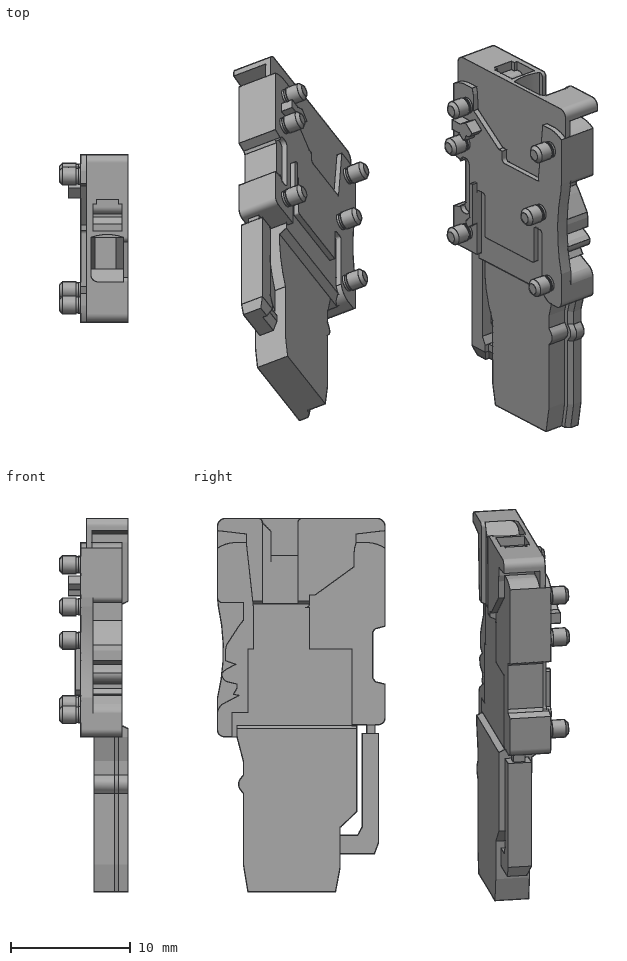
import cadquery as cq

HEIGHT = 31.15
WIDTH = 14.0
HALF_WIDTH = WIDTH / 2
CORNER_RADIUS = 0.7

PIN_TIP_X = -2.87
ARROW_X = -2.12
RAIL_X = -1.55
PLATE_X = -1.1
INSERT_FRONT_X = -0.62
SKIN_REAR_X = -0.15
LATCH_X = -0.05
BLADE_X = 0.0
HOUSING_REAR_X = 2.37
INSERT_REAR_X = 2.87

CAP_UNDERSIDE_Z = 30.12
CAP_UNDERSIDE_DROP = 0.28
LUG_EDGE_Z = 28.65
LUG_TOP_Z = 29.13
LUG_ARC_Y = 5.6
LUG_ARC_MIDDLE = (6.35, 28.97)
LUG_INNER_Y = 4.58
INSERT_STEP_Z = 24.73
UPPER_BOTTOM_Z = 23.7
NECK_LEFT_Y = 0.7
NECK_RIGHT_Y = -4.0
NECK_RADIUS = 0.3
FLANGE_BOTTOM_Z = 24.0
FLANGE_BEVEL = 0.25

CORE_LEFT_Y = 4.25
CORE_RIGHT_Y = -4.45
CORE_TOP_Z = 20.25
SHOULDER_RIGHT_Y = -5.75
SHOULDER_TOP_Z = 14.95
SHOULDER_BEVEL_Z = 13.33
SHOULDER_BOTTOM_Z = 12.9

BLADE_TOP_Z = 13.85
BLADE_LEFT_Y = 3.25
BLADE_RIGHT_Y = -4.08
BLADE_TAPER_Z = 2.0
EDGE_TAPER_Z = 2.27
BLADE_TAPER = 0.37
EDGE_FLARE_Z = 10.87
EDGE_FLARE = 0.53
EDGE_STEP = 0.37
EDGE_BEVEL_START_X = 1.7
EDGE_BEVEL_END_X = 2.05
BUMP_Z = 8.97
BUMP_HALF_HEIGHT = 0.78
BUMP_ARC_HALF = 0.53
BUMP_FLANK = 0.2
BUMP_DEPTH = 0.4

WEB_X = 1.0
WEB_LEFT_Y = 4.65
WEB_SLOPE_Z = (5.35, 6.7)

ARM_X = 0.45
ARM_REAR_X = 2.43
ARM_OUTER_Y = 6.45
ARM_INNER_Y = 5.08
ARM_TOP_Z = 13.2
ARM_BEVEL_Z = 4.08
ARM_BOTTOM_Z = 3.18
ARM_BEVEL = 0.35
LINK_X = 0.8
LINK_START_Y = 4.7
LINK_TOP_Z = 4.75
ARM_FLARE_Z = 5.42
ROOT_OVERLAP = 0.3
STRUT_Y = (5.45, 6.17)
STRUT_X = (0.95, 1.93)

WINDOW_REAR_X = 2.37
WINDOW_Y = (0.62, 2.87)
WINDOW_HEAD_Y = (2.55, 3.25)
WINDOW_HEAD_X = (0.22, 2.05)
WINDOW_FLOOR_Z = 30.37
WINDOW_VALLEY_Z = 29.9

PORT_FRONT_X = -0.25
PORT_REAR_X = 2.5
PORT_LEFT_Y = 0.1
PORT_RIGHT_Y = -3.6
PORT_WELL_RIGHT_Y = -2.52
PORT_SLOPE_Z = 30.05
PORT_WELL_TOP_Z = 28.05
PORT_FLOOR_Z = 24.3
PORT_FLOOR_FRONT_X = 0.1
PORT_FLOOR_REAR_X = 1.87
PORT_CORNER = 0.62
PORT_BULGE = 0.25
REAR_LIP = 0.37

LEFT_FOOT_Z = 13.92
RIGHT_FOOT_Z = 12.93
FOOT_RADIUS = 0.6
NOTCH_BOTTOM_Z = 17.32
NOTCH_TOP_Z = 22.15
NOTCH_Y = 5.98
WAIST_Y = -6.5
WAIST_Z = 20.22
WAIST_TOP_Z = 23.77
WAIST_TOP_Y = -6.9
WAIST_BOTTOM_Z = 16.17

LATCH_TOP_Z = 24.5
LATCH_BOTTOM_Z = 14.58
LATCH_BACK_Y = -4.83

SLOT_BOTTOM_Z = 17.15
SLOT_TOP_Z = 22.3
SLOT_INNER_Y = 4.95
SLOT_OUTER_Y = 6.07
SLOT_RADIUS = 0.47

CHANNEL_LEFT_Y = 3.95
CHANNEL_LEFT_TOP_Z = 19.95
CHANNEL_RIGHT_TOP_Z = 19.28
TONGUE_LEFT_Y = 2.93
TONGUE_RIGHT_Y = -3.43
TONGUE_BOTTOM_Z = 15.92
CHANNEL_RADIUS = 0.25
TONGUE_RADIUS = 0.15

PIN_CENTRES = [
    (5.2, 27.32),
    (-5.55, 27.25),
    (5.55, 23.77),
    (-4.33, 20.95),
    (5.23, 15.6),
    (-5.35, 14.75),
]
PIN_RADIUS = 0.75
PIN_TIP_RADIUS = 0.47
PIN_ROOT_RADIUS = 0.7
PIN_BEVEL_X = -2.6
PIN_ROOT_X = -1.28
PIN_GROOVE_X = -1.45
PIN_GROOVE_RADIUS = 0.65


def yz_plane(x):
    """Sketch plane at the given X; its local axes are Y and Z."""
    return cq.Workplane("YZ", origin=(x, 0, 0))


def yz_prism(points, x0, x1):
    """Extrude a (Y, Z) polygon from x0 to x1."""
    return yz_plane(x0).polyline(points).close().extrude(x1 - x0)


def xz_prism(points, left_y, length):
    """Extrude an (X, Z) polygon toward -Y, starting at left_y."""
    return cq.Workplane("XZ", origin=(0, left_y, 0)).polyline(points).close().extrude(length)


def block(x0, x1, y0, y1, z0, z1):
    """Axis-aligned box between the given limits."""
    size = (x1 - x0, y1 - y0, z1 - z0)
    return cq.Workplane("XY").box(*size, centered=False).translate((x0, y0, z0))


def rear_bevel(z, rise):
    """Wedge that bevels a rear edge at height z; a negative rise bevels a top edge."""
    return xz_prism([(HOUSING_REAR_X, z), (INSERT_REAR_X, z), (INSERT_REAR_X, z + rise)], HALF_WIDTH, WIDTH)


def upper_sketch(plane):
    """Upper insert face: arched lug seats, sloping side and straight lower end."""
    return (
        plane.moveTo(-HALF_WIDTH, HEIGHT)
        .lineTo(HALF_WIDTH, HEIGHT)
        .lineTo(HALF_WIDTH, LUG_EDGE_Z)
        .threePointArc(LUG_ARC_MIDDLE, (LUG_ARC_Y, LUG_TOP_Z))
        .lineTo(LUG_INNER_Y, LUG_TOP_Z)
        .lineTo(4.42, 28.55)
        .lineTo(4.4, 27.1)
        .lineTo(1.12, INSERT_STEP_Z)
        .lineTo(NECK_LEFT_Y, INSERT_STEP_Z)
        .lineTo(NECK_LEFT_Y, UPPER_BOTTOM_Z + NECK_RADIUS)
        .radiusArc((NECK_LEFT_Y - NECK_RADIUS, UPPER_BOTTOM_Z), NECK_RADIUS)
        .lineTo(NECK_RIGHT_Y, UPPER_BOTTOM_Z)
        .lineTo(-LUG_INNER_Y, LUG_TOP_Z)
        .lineTo(-LUG_ARC_Y, LUG_TOP_Z)
        .threePointArc((-LUG_ARC_MIDDLE[0], LUG_ARC_MIDDLE[1]), (-HALF_WIDTH, LUG_EDGE_Z))
        .close()
    )


def insert_head():
    """Cap with a thin front skin; the cap overhangs both housing lugs."""
    head = upper_sketch(yz_plane(INSERT_FRONT_X)).extrude(INSERT_REAR_X - INSERT_FRONT_X)
    head = head.edges("|X and >Z").fillet(CORNER_RADIUS)
    for outer_y, inner_y in ((-HALF_WIDTH, -LUG_INNER_Y), (HALF_WIDTH, LUG_INNER_Y)):
        gap = [
            (outer_y, LUG_EDGE_Z),
            (outer_y, CAP_UNDERSIDE_Z),
            (inner_y, CAP_UNDERSIDE_Z - CAP_UNDERSIDE_DROP),
            (inner_y, LUG_EDGE_Z),
        ]
        head = head.cut(yz_prism(gap, SKIN_REAR_X, INSERT_REAR_X))
    flange_x = (HOUSING_REAR_X, INSERT_REAR_X)
    below_flange = block(*flange_x, -HALF_WIDTH, HALF_WIDTH, UPPER_BOTTOM_Z, FLANGE_BOTTOM_Z)
    head = head.cut(below_flange)
    return head.cut(rear_bevel(FLANGE_BOTTOM_Z, FLANGE_BEVEL))


def port_wall_gap():
    """Opening in the rear wall of the port, with rounded upper corners."""
    left = PORT_LEFT_Y - REAR_LIP
    right = PORT_RIGHT_Y + REAR_LIP
    return (
        yz_plane(PORT_REAR_X)
        .moveTo(left + REAR_LIP, HEIGHT)
        .radiusArc((left, HEIGHT - REAR_LIP), -REAR_LIP)
        .lineTo(left, UPPER_BOTTOM_Z)
        .lineTo(right, UPPER_BOTTOM_Z)
        .lineTo(right, HEIGHT - REAR_LIP)
        .radiusArc((right - REAR_LIP, HEIGHT), -REAR_LIP)
        .close()
        .extrude(INSERT_REAR_X - PORT_REAR_X)
    )


def cable_port():
    """Port in the cap: a bowed mouth with a sloping right side and a tapered well."""
    mouth_middle_x = (PORT_FRONT_X + PORT_REAR_X) / 2
    floor_middle_x = (PORT_FLOOR_FRONT_X + PORT_FLOOR_REAR_X) / 2
    mouth = (
        cq.Workplane("XY", origin=(0, 0, PORT_WELL_TOP_Z))
        .moveTo(PORT_FRONT_X, PORT_LEFT_Y)
        .lineTo(PORT_FRONT_X, PORT_RIGHT_Y + PORT_CORNER)
        .radiusArc((PORT_FRONT_X + PORT_CORNER, PORT_RIGHT_Y), -PORT_CORNER)
        .lineTo(PORT_REAR_X, PORT_RIGHT_Y)
        .lineTo(PORT_REAR_X, PORT_LEFT_Y)
        .threePointArc((mouth_middle_x, PORT_LEFT_Y + PORT_BULGE), (PORT_FRONT_X, PORT_LEFT_Y))
        .close()
        .extrude(HEIGHT - PORT_WELL_TOP_Z)
    )
    slope = [
        (PORT_RIGHT_Y, HEIGHT),
        (PORT_RIGHT_Y, PORT_WELL_TOP_Z),
        (PORT_WELL_RIGHT_Y, PORT_WELL_TOP_Z),
        (PORT_WELL_RIGHT_Y, PORT_SLOPE_Z),
    ]
    mouth = mouth.cut(yz_prism(slope, PORT_FRONT_X, PORT_REAR_X))
    middle_y = (PORT_LEFT_Y + PORT_WELL_RIGHT_Y) / 2
    well_width = PORT_LEFT_Y - PORT_WELL_RIGHT_Y
    well = (
        cq.Workplane("XY", origin=(floor_middle_x, middle_y, PORT_FLOOR_Z))
        .rect(PORT_FLOOR_REAR_X - PORT_FLOOR_FRONT_X, well_width)
        .workplane(offset=PORT_WELL_TOP_Z - PORT_FLOOR_Z)
        .center(mouth_middle_x - floor_middle_x, 0)
        .rect(PORT_REAR_X - PORT_FRONT_X, well_width)
        .loft()
    )
    return mouth.union(well).union(port_wall_gap())


def lever_window():
    """T-shaped window in the cap over a floor with a rounded valley."""
    body = (
        yz_plane(LATCH_X)
        .moveTo(WINDOW_Y[1], HEIGHT)
        .lineTo(WINDOW_Y[1], WINDOW_FLOOR_Z)
        .lineTo(WINDOW_HEAD_Y[0], WINDOW_FLOOR_Z)
        .threePointArc((2.2, 30.2), (2.05, WINDOW_VALLEY_Z))
        .lineTo(1.8, WINDOW_VALLEY_Z)
        .lineTo(1.2, WINDOW_FLOOR_Z)
        .lineTo(WINDOW_Y[0], WINDOW_FLOOR_Z)
        .lineTo(WINDOW_Y[0], HEIGHT)
        .close()
        .extrude(WINDOW_REAR_X - LATCH_X)
    )
    head = block(*WINDOW_HEAD_X, *WINDOW_HEAD_Y, WINDOW_FLOOR_Z, HEIGHT)
    return body.union(head)


def insert_core():
    """Neck and wide core hidden in the housing, with the bevelled lower shoulder."""
    neck = block(INSERT_FRONT_X, HOUSING_REAR_X, NECK_RIGHT_Y, NECK_LEFT_Y, CORE_TOP_Z, UPPER_BOTTOM_Z)
    core = block(INSERT_FRONT_X, HOUSING_REAR_X, CORE_RIGHT_Y, CORE_LEFT_Y, SHOULDER_TOP_Z, CORE_TOP_Z)
    shoulder_profile = [
        (INSERT_FRONT_X, SHOULDER_TOP_Z),
        (INSERT_FRONT_X, SHOULDER_BEVEL_Z),
        (BLADE_X, SHOULDER_BOTTOM_Z),
        (HOUSING_REAR_X, SHOULDER_BOTTOM_Z),
        (HOUSING_REAR_X, SHOULDER_TOP_Z),
    ]
    shoulder = xz_prism(shoulder_profile, CORE_LEFT_Y, CORE_LEFT_Y - SHOULDER_RIGHT_Y)
    return neck.union(core).union(shoulder)


def blade_sketch(plane, step):
    """Blade outline with its right edge moved outward by step."""
    right = BLADE_RIGHT_Y - step
    return (
        plane.moveTo(CORE_LEFT_Y, BLADE_TOP_Z)
        .lineTo(CORE_LEFT_Y, 11.68)
        .threePointArc((3.9, 9.55), (BLADE_LEFT_Y, 7.7))
        .lineTo(BLADE_LEFT_Y, BLADE_TAPER_Z)
        .lineTo(BLADE_LEFT_Y - BLADE_TAPER, 0)
        .lineTo(right + BLADE_TAPER, 0)
        .lineTo(right, EDGE_TAPER_Z)
        .lineTo(right, BUMP_Z - BUMP_HALF_HEIGHT)
        .lineTo(right - BUMP_FLANK, BUMP_Z - BUMP_ARC_HALF)
        .threePointArc((right - BUMP_DEPTH, BUMP_Z), (right - BUMP_FLANK, BUMP_Z + BUMP_ARC_HALF))
        .lineTo(right, BUMP_Z + BUMP_HALF_HEIGHT)
        .lineTo(right, EDGE_FLARE_Z)
        .lineTo(right - EDGE_FLARE, SHOULDER_BOTTOM_Z)
        .lineTo(right - EDGE_FLARE, BLADE_TOP_Z)
        .close()
    )


def insert_blade():
    """Blade with a stepped and bevelled right edge."""
    front = blade_sketch(yz_plane(BLADE_X), 0).extrude(EDGE_BEVEL_START_X - BLADE_X)
    inner = blade_sketch(yz_plane(EDGE_BEVEL_START_X), EDGE_STEP)
    bevel = blade_sketch(
        inner.workplane(offset=EDGE_BEVEL_END_X - EDGE_BEVEL_START_X), 2 * EDGE_STEP
    ).loft(ruled=True)
    rear = blade_sketch(yz_plane(EDGE_BEVEL_END_X), 2 * EDGE_STEP).extrude(INSERT_REAR_X - EDGE_BEVEL_END_X)
    return front.union(bevel).union(rear).cut(rear_bevel(BLADE_TOP_Z, -FLANGE_BEVEL))


def rear_web():
    """Web behind the blade face, standing out past the left blade edge."""
    outline = [
        (WEB_LEFT_Y, BLADE_TOP_Z),
        (WEB_LEFT_Y, WEB_SLOPE_Z[1]),
        (BLADE_LEFT_Y, WEB_SLOPE_Z[0]),
        (BLADE_LEFT_Y - ROOT_OVERLAP, WEB_SLOPE_Z[0]),
        (BLADE_LEFT_Y - ROOT_OVERLAP, BLADE_TOP_Z),
    ]
    return yz_prism(outline, WEB_X, INSERT_REAR_X).cut(rear_bevel(BLADE_TOP_Z, -FLANGE_BEVEL))


def foot_bevel(x):
    """Wedge that bevels the lower front edge of a bar whose front is at x."""
    wedge = [(x, ARM_BOTTOM_Z), (x, ARM_BEVEL_Z), (x + ARM_BEVEL, ARM_BOTTOM_Z)]
    return xz_prism(wedge, HALF_WIDTH, HALF_WIDTH)


def insert_arm():
    """Outer arm with a bevelled foot, joined to the blade by a link."""
    outline = [
        (ARM_OUTER_Y, ARM_TOP_Z),
        (ARM_OUTER_Y, ARM_BEVEL_Z),
        (ARM_OUTER_Y - ARM_BEVEL, ARM_BOTTOM_Z),
        (LINK_START_Y + ARM_BEVEL, ARM_BOTTOM_Z),
        (LINK_START_Y, ARM_BEVEL_Z),
        (LINK_START_Y, LINK_TOP_Z),
        (ARM_INNER_Y, ARM_FLARE_Z),
        (ARM_INNER_Y, ARM_TOP_Z),
    ]
    arm = yz_prism(outline, ARM_X, ARM_REAR_X).cut(foot_bevel(ARM_X))
    link = block(LINK_X, ARM_REAR_X, BLADE_LEFT_Y - ROOT_OVERLAP, ARM_INNER_Y, ARM_BOTTOM_Z, LINK_TOP_Z)
    arm = arm.union(link.cut(foot_bevel(LINK_X)))
    return arm.union(block(*STRUT_X, *STRUT_Y, ARM_TOP_Z, LEFT_FOOT_Z))


def insert_body():
    """Everything below the head: core, blade, web and arm."""
    body = insert_core()
    for feature in (insert_blade(), rear_web(), insert_arm()):
        body = body.union(feature)
    return body


def make_insert():
    head = insert_head().cut(cable_port()).cut(lever_window())
    return head.union(insert_body())


def housing_shell():
    """Housing outline with a side notch, a curved waist and two rounded feet."""
    shell = (
        yz_plane(PLATE_X)
        .moveTo(HALF_WIDTH, NOTCH_TOP_Z)
        .lineTo(6.17, 21.93)
        .lineTo(NOTCH_Y, 21.68)
        .lineTo(NOTCH_Y, 17.82)
        .lineTo(6.17, 17.55)
        .lineTo(HALF_WIDTH, NOTCH_BOTTOM_Z)
        .lineTo(HALF_WIDTH, LEFT_FOOT_Z + FOOT_RADIUS)
        .radiusArc((HALF_WIDTH - FOOT_RADIUS, LEFT_FOOT_Z), FOOT_RADIUS)
        .lineTo(CHANNEL_LEFT_Y, LEFT_FOOT_Z)
        .lineTo(CORE_RIGHT_Y, LEFT_FOOT_Z)
        .threePointArc((-4.85, 13.27), (-5.92, RIGHT_FOOT_Z))
        .lineTo(FOOT_RADIUS - HALF_WIDTH, RIGHT_FOOT_Z)
        .radiusArc((-HALF_WIDTH, RIGHT_FOOT_Z + FOOT_RADIUS), FOOT_RADIUS)
        .lineTo(-HALF_WIDTH, WAIST_BOTTOM_Z)
        .threePointArc((WAIST_Y, WAIST_Z), (WAIST_TOP_Y, WAIST_TOP_Z))
        .lineTo(-HALF_WIDTH, LATCH_TOP_Z)
        .lineTo(-HALF_WIDTH, HEIGHT)
        .lineTo(HALF_WIDTH, HEIGHT)
        .close()
        .extrude(HOUSING_REAR_X - PLATE_X)
    )
    upper_opening = upper_sketch(yz_plane(PLATE_X)).extrude(INSERT_REAR_X - PLATE_X)
    return shell.cut(upper_opening)


def latch_recess():
    """Space along the right side that leaves two latch teeth and a small rib standing."""
    outside = -HALF_WIDTH - 0.3
    return (
        yz_plane(LATCH_X)
        .moveTo(outside, LATCH_TOP_Z)
        .lineTo(-HALF_WIDTH, LATCH_TOP_Z)
        .threePointArc((-6.85, 24.25), (-6.5, 24.1))
        .lineTo(LATCH_BACK_Y, 24.1)
        .lineTo(LATCH_BACK_Y, 22.65)
        .lineTo(-5.23, 22.12)
        .lineTo(-6.23, 20.6)
        .lineTo(-6.32, 20.12)
        .lineTo(-6.32, 19.28)
        .lineTo(-5.45, 18.97)
        .lineTo(-5.67, 18.88)
        .lineTo(-6.3, 18.53)
        .lineTo(-6.6, 18.25)
        .lineTo(-6.6, 18.1)
        .threePointArc((-6.48, 17.75), (-6.1, 17.5))
        .lineTo(-5.35, 17.32)
        .lineTo(-5.35, 16.98)
        .lineTo(-5.67, 16.48)
        .lineTo(-5.17, 16.4)
        .lineTo(-6.6, 15.65)
        .threePointArc((-6.9, 15.2), (-HALF_WIDTH, LATCH_BOTTOM_Z))
        .lineTo(outside, LATCH_BOTTOM_Z)
        .close()
        .extrude(HOUSING_REAR_X - LATCH_X)
    )


def corners_between(z0, z1):
    """Selector for the plate edges between two heights, ends included."""
    margin = 0.03
    return cq.selectors.BoxSelector(
        (PLATE_X, -HALF_WIDTH, z0 - margin),
        (INSERT_FRONT_X, HALF_WIDTH, z1 + margin),
    )


def insert_channels():
    """U-shaped opening in the front plate around a hanging tongue."""
    depth = INSERT_FRONT_X - PLATE_X
    outline = [
        (CHANNEL_LEFT_Y, LEFT_FOOT_Z),
        (CHANNEL_LEFT_Y, CHANNEL_LEFT_TOP_Z),
        (TONGUE_LEFT_Y, CHANNEL_LEFT_TOP_Z),
        (TONGUE_LEFT_Y, TONGUE_BOTTOM_Z),
        (TONGUE_RIGHT_Y, TONGUE_BOTTOM_Z),
        (TONGUE_RIGHT_Y, CHANNEL_RIGHT_TOP_Z),
        (CORE_RIGHT_Y, CHANNEL_RIGHT_TOP_Z),
        (CORE_RIGHT_Y, LEFT_FOOT_Z),
    ]
    channels = yz_plane(PLATE_X).polyline(outline).close().extrude(depth)
    tops = corners_between(CHANNEL_RIGHT_TOP_Z, CHANNEL_LEFT_TOP_Z)
    channels = channels.edges("|X").edges(tops).fillet(CHANNEL_RADIUS)
    tongue_tip = corners_between(TONGUE_BOTTOM_Z, TONGUE_BOTTOM_Z)
    return channels.edges("|X").edges(tongue_tip).fillet(TONGUE_RADIUS)


def side_slot():
    """Shallow round-ended recess along the side notch."""
    slot = block(PLATE_X, INSERT_FRONT_X, SLOT_INNER_Y, SLOT_OUTER_Y, SLOT_BOTTOM_Z, SLOT_TOP_Z)
    return slot.edges("|X").fillet(SLOT_RADIUS)


def rail():
    """Raised rail beside the left channel, with a hooked lower end."""
    outline = [
        (CHANNEL_LEFT_Y, 20.55),
        (4.25, 20.55),
        (4.4, 20.4),
        (4.4, 17.32),
        (4.83, 16.88),
        (4.83, 16.57),
        (4.52, 16.4),
        (CHANNEL_LEFT_Y, 16.82),
    ]
    return yz_prism(outline, RAIL_X, PLATE_X)


def arrow():
    """Raised arrow pointing to the right."""
    outline = [
        (5.95, 26.0),
        (4.92, 25.98),
        (4.2, 26.35),
        (3.35, 25.67),
        (3.75, 25.23),
        (4.17, 25.17),
        (4.33, 24.67),
        (4.52, 24.67),
        (5.1, 25.1),
        (5.95, 25.1),
    ]
    return yz_prism(outline, ARROW_X, PLATE_X)


def pin(y, z):
    """Round pin with a bevelled tip and a shallow groove near its root."""
    profile = [
        (PLATE_X, 0),
        (PLATE_X, PIN_ROOT_RADIUS),
        (PIN_ROOT_X, PIN_ROOT_RADIUS),
        (PIN_ROOT_X, PIN_GROOVE_RADIUS),
        (PIN_GROOVE_X, PIN_GROOVE_RADIUS),
        (PIN_GROOVE_X, PIN_RADIUS),
        (PIN_BEVEL_X, PIN_RADIUS),
        (PIN_TIP_X, PIN_TIP_RADIUS),
        (PIN_TIP_X, 0),
    ]
    turned = cq.Workplane("XY").polyline(profile).close().revolve(360, (0, 0), (1, 0))
    return turned.translate((0, y, z))


def make_housing():
    housing = housing_shell()
    for recess in (latch_recess(), insert_channels(), side_slot(), insert_body()):
        housing = housing.cut(recess)
    housing = housing.union(rail()).union(arrow())
    for y, z in PIN_CENTRES:
        housing = housing.union(pin(y, z))
    return housing


insert = make_insert()
housing = make_housing()
result = cq.Compound.makeCompound([housing.val(), insert.val()])